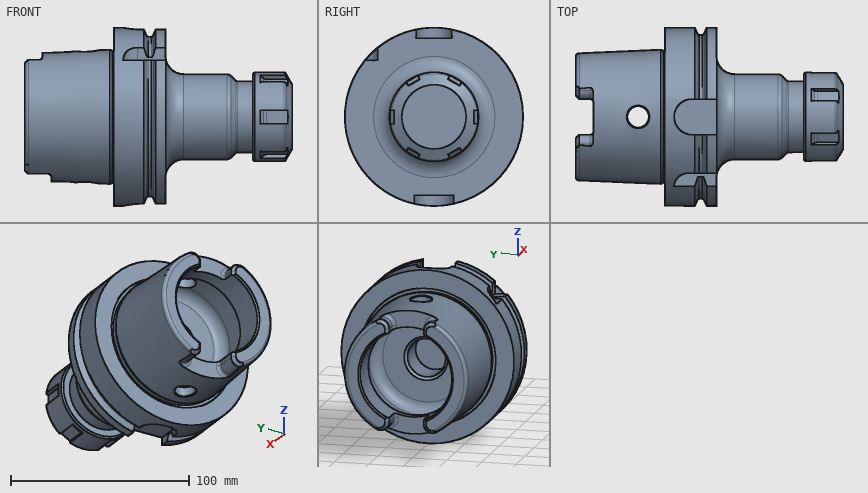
import cadquery as cq
import math


SHANK_LENGTH = 50.0
SHANK_BASE_RADIUS = 37.7
SHANK_END_RADIUS = 35.6
SHANK_END_ROUND = 2.0
FACE_RECESS_RADIUS = 39.4
FACE_RECESS_DEPTH = 2.0
RELIEF_START_X = -2.2
RELIEF_END_X = -0.9
RELIEF_RADIUS = 37.1

BORE_RADIUS = 26.5
BORE_CHAMFER = 1.0
BORE_DEPTH = 19.5
CAVITY_RADIUS = 31.5
CAVITY_ROUND = 6.5
CAVITY_FLOOR_X = -4.0
TUBE_HOLE_RADIUS = 11.0
TUBE_HOLE_CHAMFER = 1.6
TUBE_HOLE_DEPTH = 20.0

KEY_HALF_WIDTH = 10.0
KEY_TOP_DEPTH = 10.0
KEY_BOTTOM_DEPTH = 15.0
KEY_SHOULDER_Z = 32.0
KEY_SHOULDER_ROUND = 5.0
KEY_FLOOR_ROUND = 2.0
KEY_EDGE_CHAMFER = 2.0

ACCESS_X = -15.0
ACCESS_RADIUS = 6.0
ACCESS_CHAMFER = 0.4

FLANGE_RADIUS = 50.0
FLANGE_LENGTH = 29.0
GROOVE_X = 20.1
GROOVE_BOTTOM_RADIUS = 46.0
GROOVE_TOP_WIDTH = 6.7
GROOVE_BOTTOM_WIDTH = 3.0
GROOVE_ROUND = 1.0
FLANGE_SLOT_START_X = 5.2
FLANGE_SLOT_FLOOR = 44.0
TOP_SLOT_WIDTH = 20.0
BOTTOM_SLOT_WIDTH = 22.0
NOTCH_OFFSET = 31.6
NOTCH_START_X = 5.0
NOTCH_ROUND = 8.0

HUB_RADIUS = 24.0
HUB_ROOT_ROUND = 10.0
HUB_END_X = 64.6
HUB_END_ROUND = 3.2
NECK_RADIUS = 20.0
NECK_ROUND = 1.3

NUT_START_X = 77.8
NUT_END_X = 100.0
NUT_RADIUS = 25.0
NUT_BACK_CHAMFER = 1.0
NUT_NOSE_RADIUS = 18.0
NUT_NOSE_ANGLE = 60.0
NUT_NOSE_ROUND = 1.5
WRENCH_SLOT_COUNT = 6
WRENCH_SLOT_WIDTH = 7.5
WRENCH_SLOT_START_X = 82.0
WRENCH_SLOT_START_RADIUS = 24.6
WRENCH_SLOT_FLOOR = 22.2
WRENCH_SLOT_ROUND = 2.4

CUT_MARGIN = 5.0


def revolve_about_x(profile):
    """Turn a closed profile drawn in XY (y = radius) about the X axis."""
    return profile.close().revolve(360, (0, 0, 0), (1, 0, 0))


def turned_holder():
    """Shank, flange, hub and neck as one turned blank with a stepped outline."""
    hub_drop = HUB_RADIUS - NECK_RADIUS
    profile = (
        cq.Workplane("XY")
        .moveTo(-SHANK_LENGTH, 0)
        .lineTo(-SHANK_LENGTH, SHANK_END_RADIUS)
        .lineTo(RELIEF_START_X, SHANK_BASE_RADIUS)
        .lineTo(RELIEF_END_X, RELIEF_RADIUS)
        .lineTo(FACE_RECESS_DEPTH, RELIEF_RADIUS)
        .lineTo(FACE_RECESS_DEPTH, FACE_RECESS_RADIUS)
        .lineTo(0, FACE_RECESS_RADIUS)
        .lineTo(0, FLANGE_RADIUS)
        .lineTo(FLANGE_LENGTH, FLANGE_RADIUS)
        .lineTo(FLANGE_LENGTH, HUB_RADIUS + HUB_ROOT_ROUND)
        .radiusArc((FLANGE_LENGTH + HUB_ROOT_ROUND, HUB_RADIUS), -HUB_ROOT_ROUND)
        .lineTo(HUB_END_X, HUB_RADIUS)
        .lineTo(HUB_END_X + hub_drop, NECK_RADIUS)
        .lineTo(NUT_START_X, NECK_RADIUS)
        .lineTo(NUT_START_X, 0)
    )
    body = revolve_about_x(profile)
    body = body.edges(circle_at(HUB_END_X, HUB_RADIUS)).fillet(HUB_END_ROUND)
    return body.edges(circle_at(HUB_END_X + hub_drop, NECK_RADIUS)).fillet(NECK_ROUND)


def circle_at(x, radius):
    """Selector for the round edge of a given radius about X at position x."""
    reach = 0.01
    span = radius + reach
    inner = radius - reach
    return cq.selectors.BoxSelector(
        (x - reach, -span, -span), (x + reach, span, span), boundingbox=True
    ) - cq.selectors.BoxSelector(
        (x - reach, -inner, -inner), (x + reach, inner, inner), boundingbox=True
    )


def shank_cavity():
    """Entry bore, wider clamping chamber with a rounded floor, and coolant tube hole."""
    chamber_start = -SHANK_LENGTH + BORE_DEPTH
    profile = (
        cq.Workplane("XY")
        .moveTo(-SHANK_LENGTH, 0)
        .lineTo(-SHANK_LENGTH, BORE_RADIUS + BORE_CHAMFER)
        .lineTo(-SHANK_LENGTH + BORE_CHAMFER, BORE_RADIUS)
        .lineTo(chamber_start, BORE_RADIUS)
        .lineTo(chamber_start, CAVITY_RADIUS)
        .lineTo(CAVITY_FLOOR_X - CAVITY_ROUND, CAVITY_RADIUS)
        .radiusArc((CAVITY_FLOOR_X, CAVITY_RADIUS - CAVITY_ROUND), CAVITY_ROUND)
        .lineTo(CAVITY_FLOOR_X, TUBE_HOLE_RADIUS + TUBE_HOLE_CHAMFER)
        .lineTo(CAVITY_FLOOR_X + TUBE_HOLE_CHAMFER, TUBE_HOLE_RADIUS)
        .lineTo(CAVITY_FLOOR_X + TUBE_HOLE_DEPTH, TUBE_HOLE_RADIUS)
        .lineTo(CAVITY_FLOOR_X + TUBE_HOLE_DEPTH, 0)
    )
    return revolve_about_x(profile)


def key_slot(depth):
    """Drive slot cutter on the +Z side: walls roll over into flat shoulders, floor edges rounded."""
    outer = FLANGE_RADIUS
    arc_start_z = KEY_SHOULDER_Z - KEY_SHOULDER_ROUND
    arc_end_y = KEY_HALF_WIDTH + KEY_SHOULDER_ROUND
    cutter = (
        cq.Workplane("YZ", origin=(-SHANK_LENGTH, 0, 0))
        .moveTo(-KEY_HALF_WIDTH, 0)
        .lineTo(-KEY_HALF_WIDTH, arc_start_z)
        .radiusArc((-arc_end_y, KEY_SHOULDER_Z), -KEY_SHOULDER_ROUND)
        .lineTo(-outer, KEY_SHOULDER_Z)
        .lineTo(-outer, outer)
        .lineTo(outer, outer)
        .lineTo(outer, KEY_SHOULDER_Z)
        .lineTo(arc_end_y, KEY_SHOULDER_Z)
        .radiusArc((KEY_HALF_WIDTH, arc_start_z), -KEY_SHOULDER_ROUND)
        .lineTo(KEY_HALF_WIDTH, 0)
        .close()
        .extrude(depth)
    )
    return cutter.faces(">X").edges("not(<Z or >Z or <Y or >Y)").fillet(KEY_FLOOR_ROUND)


def end_rounding():
    """Ring cutter that rounds the outer rim of the shank end, tangent to face and taper."""
    taper = math.atan2(SHANK_BASE_RADIUS - SHANK_END_RADIUS, SHANK_LENGTH + RELIEF_START_X)
    tangent_length = SHANK_END_ROUND * math.tan(math.pi / 4 - taper / 2)
    arc_end_x = -SHANK_LENGTH + tangent_length * math.cos(taper)
    arc_end_radius = SHANK_END_RADIUS + tangent_length * math.sin(taper)
    outer = SHANK_END_RADIUS + CUT_MARGIN
    profile = (
        cq.Workplane("XY")
        .moveTo(-SHANK_LENGTH, SHANK_END_RADIUS - tangent_length)
        .radiusArc((arc_end_x, arc_end_radius), SHANK_END_ROUND)
        .lineTo(arc_end_x, outer)
        .lineTo(-SHANK_LENGTH - CUT_MARGIN, outer)
        .lineTo(-SHANK_LENGTH - CUT_MARGIN, SHANK_END_RADIUS - tangent_length)
    )
    return revolve_about_x(profile)


def drill_access_hole(body):
    """Radial hole through the shank along Z, with both outer rims chamfered."""
    drill = (
        cq.Workplane("XY", origin=(ACCESS_X, 0, -FLANGE_RADIUS))
        .circle(ACCESS_RADIUS)
        .extrude(2 * FLANGE_RADIUS)
    )
    reach = ACCESS_RADIUS + ACCESS_CHAMFER
    rims = cq.selectors.BoxSelector(
        (ACCESS_X - reach, -reach, -FLANGE_RADIUS),
        (ACCESS_X + reach, reach, FLANGE_RADIUS),
        boundingbox=True,
    )
    return body.cut(drill).edges(rims).edges("not |Z").chamfer(ACCESS_CHAMFER)


def gripper_groove():
    """V groove with a rounded floor around the flange."""
    profile = (
        cq.Workplane("XY")
        .moveTo(GROOVE_X - GROOVE_BOTTOM_WIDTH / 2, GROOVE_BOTTOM_RADIUS)
        .lineTo(GROOVE_X - GROOVE_TOP_WIDTH / 2, FLANGE_RADIUS)
        .lineTo(GROOVE_X - GROOVE_TOP_WIDTH / 2, FLANGE_RADIUS + CUT_MARGIN)
        .lineTo(GROOVE_X + GROOVE_TOP_WIDTH / 2, FLANGE_RADIUS + CUT_MARGIN)
        .lineTo(GROOVE_X + GROOVE_TOP_WIDTH / 2, FLANGE_RADIUS)
        .lineTo(GROOVE_X + GROOVE_BOTTOM_WIDTH / 2, GROOVE_BOTTOM_RADIUS)
    )
    ring = revolve_about_x(profile)
    for side in (-1, 1):
        corner_x = GROOVE_X + side * GROOVE_BOTTOM_WIDTH / 2
        ring = ring.edges(circle_at(corner_x, GROOVE_BOTTOM_RADIUS)).fillet(GROOVE_ROUND)
    return ring


def flange_slot(width):
    """Round-ended flange slot on the +Z side, open towards +X."""
    radius = width / 2
    height = FLANGE_RADIUS + CUT_MARGIN - FLANGE_SLOT_FLOOR
    return (
        cq.Workplane("XY", origin=(0, 0, FLANGE_SLOT_FLOOR))
        .moveTo(FLANGE_LENGTH, -radius)
        .lineTo(FLANGE_SLOT_START_X + radius, -radius)
        .radiusArc((FLANGE_SLOT_START_X + radius, radius), radius)
        .lineTo(FLANGE_LENGTH, radius)
        .close()
        .extrude(height)
    )


def orientation_notch():
    """Square corner notch on the (-Y, +Z) side with a rounded end wall."""
    outer = FLANGE_RADIUS + CUT_MARGIN
    centre_x = NOTCH_START_X + NOTCH_ROUND
    return (
        cq.Workplane("XY", origin=(0, 0, NOTCH_OFFSET))
        .moveTo(FLANGE_LENGTH, -outer)
        .lineTo(NOTCH_START_X, -outer)
        .lineTo(NOTCH_START_X, -NOTCH_OFFSET - NOTCH_ROUND)
        .radiusArc((centre_x, -NOTCH_OFFSET), NOTCH_ROUND)
        .lineTo(FLANGE_LENGTH, -NOTCH_OFFSET)
        .close()
        .extrude(outer - NOTCH_OFFSET)
    )


def opposite(cutter):
    """Turn a +Z side cutter half a turn about the tool axis."""
    return cutter.rotate((0, 0, 0), (1, 0, 0), 180)


def build_holder():
    body = turned_holder()
    body = body.cut(key_slot(KEY_TOP_DEPTH))
    body = body.cut(opposite(key_slot(KEY_BOTTOM_DEPTH)))
    slot_mouths = cq.selectors.InverseSelector(cq.selectors.RadiusNthSelector(-1))
    body = body.faces("<X").edges(slot_mouths).chamfer(KEY_EDGE_CHAMFER)
    body = body.cut(end_rounding())
    body = drill_access_hole(body)
    body = body.cut(shank_cavity())
    body = body.cut(gripper_groove())
    body = body.cut(flange_slot(TOP_SLOT_WIDTH))
    body = body.cut(opposite(flange_slot(BOTTOM_SLOT_WIDTH)))
    return body.cut(orientation_notch())


def wrench_slot():
    """Wrench slot cutter on the -Y side: a 45 degree run-in, then a flat floor."""
    ramp = WRENCH_SLOT_START_RADIUS - WRENCH_SLOT_FLOOR
    outer = NUT_RADIUS + CUT_MARGIN
    floor_start_x = WRENCH_SLOT_START_X + ramp
    cutter = (
        cq.Workplane("XY", origin=(0, 0, -WRENCH_SLOT_WIDTH / 2))
        .moveTo(WRENCH_SLOT_START_X, -outer)
        .lineTo(WRENCH_SLOT_START_X, -WRENCH_SLOT_START_RADIUS)
        .lineTo(floor_start_x, -WRENCH_SLOT_FLOOR)
        .lineTo(NUT_END_X, -WRENCH_SLOT_FLOOR)
        .lineTo(NUT_END_X, -outer)
        .close()
        .extrude(WRENCH_SLOT_WIDTH)
    )
    ramp_foot = cq.selectors.NearestToPointSelector((floor_start_x, -WRENCH_SLOT_FLOOR, 0))
    return cutter.edges(ramp_foot).fillet(WRENCH_SLOT_ROUND)


def build_nut():
    """Clamping nut with a conical nose and wrench slots around its rim."""
    nose_length = (NUT_RADIUS - NUT_NOSE_RADIUS) / math.tan(math.radians(NUT_NOSE_ANGLE))
    nose_x = NUT_END_X - nose_length
    profile = (
        cq.Workplane("XY")
        .moveTo(NUT_START_X, 0)
        .lineTo(NUT_START_X, NUT_RADIUS - NUT_BACK_CHAMFER)
        .lineTo(NUT_START_X + NUT_BACK_CHAMFER, NUT_RADIUS)
        .lineTo(nose_x, NUT_RADIUS)
        .lineTo(NUT_END_X, NUT_NOSE_RADIUS)
        .lineTo(NUT_END_X, 0)
    )
    body = revolve_about_x(profile)
    body = body.edges(circle_at(nose_x, NUT_RADIUS)).fillet(NUT_NOSE_ROUND)
    cutter = wrench_slot()
    for index in range(WRENCH_SLOT_COUNT):
        angle = 360 / WRENCH_SLOT_COUNT * index
        body = body.cut(cutter.rotate((0, 0, 0), (1, 0, 0), angle))
    return body


holder = build_holder()
nut = build_nut()
result = cq.Compound.makeCompound([holder.val(), nut.val()])